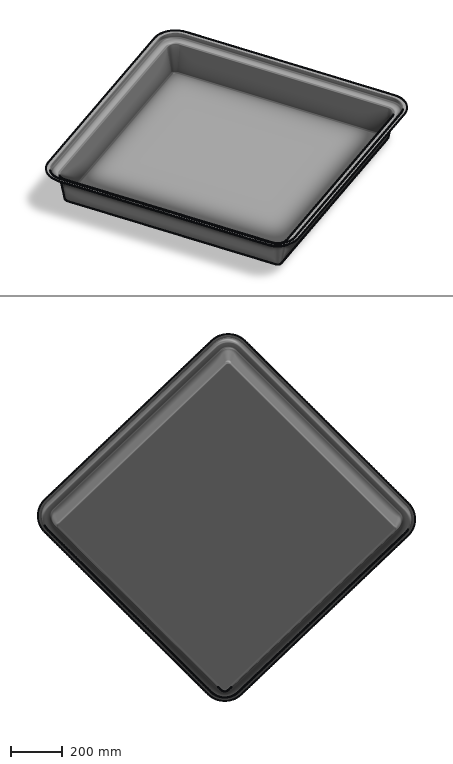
import cadquery as cq
import math

outer_side = 1088.0
depth = 152.19
sheet = 2.0

corner_radius = 91.0
axis_offset = outer_side / 2 - corner_radius

ledge_drop = 23.0
ledge_start = 30.0
ledge_end = 44.0
step_draft = math.radians(7.0)
wall_draft = math.radians(10.0)

rim_bend_radius = 3.0
step_radius = 12.0
shoulder_radius = 10.0
foot_radius = 10.0


def wall_run(upper_radius, lower_radius, height, draft):
    """Horizontal distance between the bend centres at the two ends of a drafted wall."""
    return (upper_radius + lower_radius) / math.cos(draft) + height * math.tan(draft)


step_center = (corner_radius - ledge_start, step_radius - ledge_drop)
rim_height = -rim_bend_radius
step_run = wall_run(rim_bend_radius, step_radius, rim_height - step_center[1], step_draft)
rim_center = (step_center[0] + step_run, rim_height)
shoulder_center = (corner_radius - ledge_end, -ledge_drop - shoulder_radius)
foot_height = sheet - depth + foot_radius
foot_run = wall_run(shoulder_radius, foot_radius, shoulder_center[1] - foot_height, wall_draft)
foot_center = (shoulder_center[0] - foot_run, foot_height)

UP = math.pi / 2
INWARD = math.pi
DOWN = -math.pi / 2


def on_bend(center, radius, angle):
    """Point of a bend in the given direction from its centre."""
    return (center[0] + radius * math.cos(angle), center[1] + radius * math.sin(angle))


def bend(center, radius, start, end):
    """Start, middle and end point of a bend."""
    return [on_bend(center, radius, angle) for angle in (start, (start + end) / 2, end)]


def skin_bends(offset):
    """Bends from rim to floor on the skin lying `offset` outside the inner one."""
    return [
        bend(rim_center, rim_bend_radius - offset, UP, INWARD - step_draft),
        bend(step_center, step_radius + offset, -step_draft, DOWN),
        bend(shoulder_center, shoulder_radius - offset, UP, INWARD - wall_draft),
        bend(foot_center, foot_radius + offset, -wall_draft, DOWN),
    ]


def sheet_profile():
    """Closed section through the bent sheet, standing on the corner axis, without the floor."""
    plane = cq.Plane(origin=(axis_offset, axis_offset, 0), xDir=(1, 0, 0), normal=(0, -1, 0))
    section = cq.Workplane(plane).moveTo(foot_center[0], -depth)
    for start, middle, end in reversed(skin_bends(0)):
        section = section.lineTo(*end).threePointArc(middle, start)
    section = section.lineTo(corner_radius, 0).lineTo(corner_radius, -sheet)
    for start, middle, end in skin_bends(sheet):
        section = section.lineTo(*start).threePointArc(middle, end)
    return section.close()


def side_and_corner():
    """The side facing +X together with the corner that joins it to the +Y side."""
    side = sheet_profile().extrude(2 * axis_offset)
    corner = sheet_profile().revolve(90, (0, 0), (0, 1))
    return side.union(corner, clean=False)


def floor_panel():
    """Flat floor, rounded at its corners to meet the foot bends."""
    floor_side = 2 * (axis_offset + foot_center[0])
    panel = cq.Workplane("XY").workplane(offset=-depth).rect(floor_side, floor_side).extrude(sheet)
    return panel.edges("|Z").fillet(foot_center[0])


result = floor_panel()
quarter = side_and_corner()
for turn in range(4):
    result = result.union(quarter.rotate((0, 0, 0), (0, 0, 1), 90 * turn), clean=False)